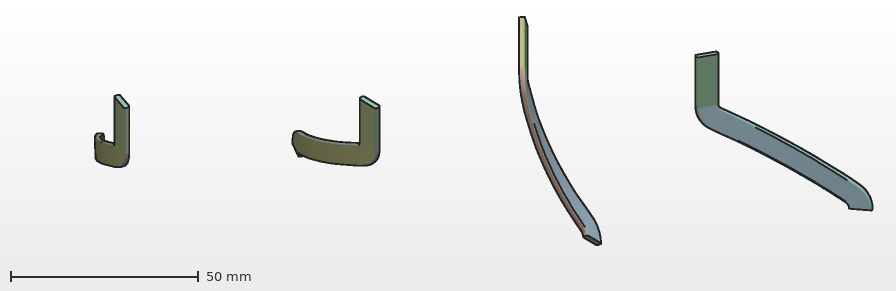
import cadquery as cq
import math

bar_width = 6.25
bar_thickness = 1.65
corner_radius = 0.4

total_height = 46.4
tab_bottom = 31.27

tab_x = 26.85
tab_y = -30.95
plan_bow = 2.9

tab_angle = 30.0
foot_angle = 60.0

bend_radius = 5.0
sections_per_stretch = 6

chord = math.hypot(tab_x, tab_y)
plan_radius = (chord**2 / 4 + plan_bow**2) / (2 * plan_bow)
plan_turn = 2 * math.asin(chord / (2 * plan_radius))
chord_angle = math.atan2(-tab_y, tab_x)
start_heading = chord_angle - plan_turn / 2
plan_length = plan_radius * plan_turn

run = plan_length - 2 * bend_radius
straight_length = math.sqrt(run**2 + tab_bottom**2 - (2 * bend_radius) ** 2)
slope_turn = math.atan2(run, tab_bottom) + math.atan2(2 * bend_radius, straight_length)


def arm_point(distance, drop):
    """Centreline point at a plan distance from the tab and a drop below it."""
    heading = start_heading + distance / plan_radius
    return cq.Vector(
        tab_x + plan_radius * (math.sin(start_heading) - math.sin(heading)),
        tab_y + plan_radius * (math.cos(start_heading) - math.cos(heading)),
        tab_bottom - drop,
    )


def upper_bend(fraction):
    """Plan distance, drop and slope angle from vertical along the upper bend."""
    angle = slope_turn * fraction
    return bend_radius * (1 - math.cos(angle)), bend_radius * math.sin(angle), angle


def straight(fraction):
    distance, drop, angle = upper_bend(1)
    along = straight_length * fraction
    return distance + along * math.sin(angle), drop + along * math.cos(angle), angle


def lower_bend(fraction):
    distance, drop, angle = upper_bend(1 - fraction)
    return plan_length - distance, tab_bottom - drop, angle


def section_plane(distance, drop, slope):
    """Plane square to the centreline, turned so the wide faces twist gradually."""
    heading = start_heading + distance / plan_radius
    tangent = cq.Vector(
        -math.cos(heading) * math.sin(slope),
        math.sin(heading) * math.sin(slope),
        -math.cos(slope),
    )
    face_angle = math.radians(tab_angle + (foot_angle - tab_angle) * distance / plan_length)
    face_normal = cq.Vector(math.sin(face_angle), math.cos(face_angle), 0)
    return cq.Plane(arm_point(distance, drop), face_normal.cross(tangent), tangent)


def section_wire(plane):
    """Rounded rectangle of the bar on the given plane."""
    outline = cq.Sketch().rect(bar_width, bar_thickness).vertices().fillet(corner_radius)
    return outline.reset().faces().val().outerWire().moved(plane.location)


fractions = [i / sections_per_stretch for i in range(sections_per_stretch)]
places = [stretch(f) for stretch in (upper_bend, straight, lower_bend) for f in fractions]
places.append(lower_bend(1))
arm = cq.Solid.makeLoft([section_wire(section_plane(*place)) for place in places])

tab_section = section_wire(section_plane(*upper_bend(0)))
tab = cq.Solid.extrudeLinear(tab_section, [], cq.Vector(0, 0, total_height - tab_bottom))

result = cq.Workplane(tab).union(cq.Workplane(arm))